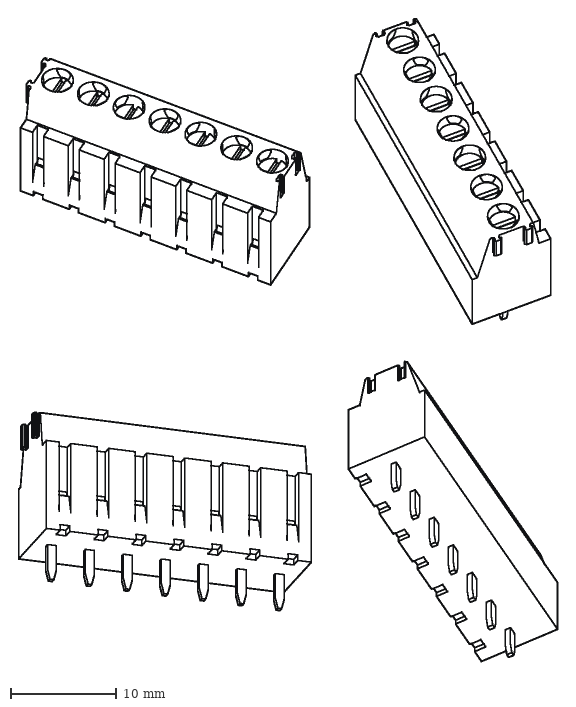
import cadquery as cq
import math


poles = 7
housing_length = 26.55
housing_depth = 8.2
housing_height = 12.6
pitch = 3.8
front_ledge_height = 9.0
front_ledge_width = 1.22
back_ledge_height = 7.12
back_ledge_width = 0.55
front_crest_y = -2.28
back_crest_y = 2.23
crest_radius = 0.27

end_x = housing_length / 2
front_y = -housing_depth / 2
back_y = housing_depth / 2

tab_spacing = 3.2
tab_length = 0.55
tab_height = 2.3
tab_head_width = 0.82
tab_neck_width = 0.5
tab_head_thickness = 0.25
tab_nose = 0.1
tab_root_flare = 0.1
slot_depth = 0.5
slot_clearance = 0.04

ridge_projection = 0.08
ridge_width = 0.15
ridge_y = 2.0

well_diameter = 3.0
screw_diameter = 2.8
screw_depth = 1.2
screw_slot_width = 0.5
screw_slot_depth = 0.65
bump_projection = 0.2
bump_foot_projection = 0.05
bump_rounding = 0.27
bump_count = 3
poles_with_reversed_bumps = (2, 4, 6)

groove_width = 1.17
groove_depth = 1.0
groove_bottom = 1.9
groove_step_height = 3.83
groove_step_depth = 0.57
wedge_width = 1.0
wedge_top = 4.4
wedge_depth = 0.73

notch_width = 0.98
notch_height = 0.57
notch_depth = 1.2

pin_length = 3.5
pin_width = 0.9
pin_thickness = 0.55
pin_tip_width = 0.38
pin_taper_length = 0.98


def pole_x(pole):
    return (pole - (poles - 1) / 2) * pitch


def make_housing():
    """End profile of the housing, extruded along the row of poles."""
    housing = (
        cq.Workplane("YZ")
        .polyline([
            (front_y, 0),
            (front_y, front_ledge_height),
            (front_y + front_ledge_width, front_ledge_height),
            (front_crest_y, housing_height),
            (back_crest_y, housing_height),
            (back_y - back_ledge_width, back_ledge_height),
            (back_y, back_ledge_height),
            (back_y, 0),
        ])
        .close()
        .extrude(end_x, both=True)
    )
    return housing.faces(">Z").edges("|X").fillet(crest_radius)


def make_tab(x, y, length, clearance=0.0):
    """T-shaped tab that points to -X from its root at x; clearance enlarges it into a slot."""
    tip_x = x - length
    neck_x = tip_x + tab_head_thickness + clearance
    head = tab_head_width / 2 + clearance
    neck = tab_neck_width / 2 + clearance
    lower_side = [
        (tip_x, y - neck),
        (tip_x + tab_nose, y - head),
        (neck_x, y - head),
        (neck_x, y - neck),
        (x - tab_root_flare, y - neck),
        (x, y - neck - tab_root_flare),
    ]
    upper_side = [(px, 2 * y - py) for px, py in reversed(lower_side)]
    return (
        cq.Workplane("XY", origin=(0, 0, housing_height - tab_height))
        .polyline(lower_side + upper_side)
        .close()
        .extrude(tab_height)
    )


def make_ridge():
    """Triangular ridge standing on the +X end, as tall as the slots."""
    return (
        cq.Workplane("XY", origin=(end_x, ridge_y, housing_height - tab_height))
        .polyline([
            (0, -ridge_width / 2),
            (ridge_projection, 0),
            (0, ridge_width / 2),
        ])
        .close()
        .extrude(tab_height)
    )


def make_bump(angle):
    """Flat retaining bump on the well wall, rounded at the rim and leaning back to the screw."""
    well_radius = well_diameter / 2
    face = well_radius - bump_projection
    outer = face + bump_rounding
    arc_offset = bump_rounding * math.sqrt(0.5)
    bump = (
        cq.Workplane("XZ")
        .moveTo(outer, 0)
        .threePointArc(
            (outer - arc_offset, arc_offset - bump_rounding),
            (face, -bump_rounding),
        )
        .lineTo(well_radius - bump_foot_projection, -screw_depth)
        .lineTo(outer, -screw_depth)
        .close()
        .extrude(well_radius, both=True)
    )
    return bump.rotate((0, 0, 0), (0, 0, 1), angle)


def make_well(bumps_reversed):
    """Space to remove around one screw head, with its origin at the rim of the well."""
    depth = screw_depth + screw_slot_depth
    well = cq.Workplane("XY").circle(well_diameter / 2).extrude(-depth)
    first_angle = -90 if bumps_reversed else 90
    for i in range(bump_count):
        well = well.cut(make_bump(first_angle + i * 360 / bump_count))
    screw = (
        cq.Workplane("XY", origin=(0, 0, -depth))
        .circle(screw_diameter / 2)
        .extrude(screw_slot_depth)
    )
    screw_slot = cq.Workplane("XY", origin=(0, 0, -depth)).box(
        screw_slot_width, screw_diameter, screw_slot_depth, centered=(True, True, False)
    )
    return well.cut(screw.cut(screw_slot))


def make_groove(x):
    """Space to remove for one front groove: sloped sill, step and a wedge on its back wall."""
    back = front_y + groove_depth
    step = front_y + groove_step_depth
    groove = (
        cq.Workplane("YZ", origin=(x, 0, 0))
        .polyline([
            (front_y, groove_bottom),
            (step, groove_step_height),
            (back, groove_step_height),
            (back, front_ledge_height),
            (front_y, front_ledge_height),
        ])
        .close()
        .extrude(groove_width / 2, both=True)
    )
    wedge = (
        cq.Workplane("YZ", origin=(x, 0, 0))
        .polyline([
            (front_y + wedge_depth, groove_step_height),
            (back, groove_step_height),
            (back, wedge_top),
        ])
        .close()
        .extrude(wedge_width / 2, both=True)
    )
    return groove.cut(wedge)


def make_notch(x):
    """Space to remove for one notch below a groove."""
    return cq.Workplane("XY", origin=(x, front_y, 0)).box(
        notch_width, notch_depth, notch_height, centered=(True, False, False)
    )


def make_pin(x):
    """Flat pin with a tapered tip."""
    half = pin_width / 2
    tip_half = pin_tip_width / 2
    taper_z = pin_taper_length - pin_length
    return (
        cq.Workplane("XZ", origin=(x, 0, 0))
        .polyline([
            (-half, 0),
            (half, 0),
            (half, taper_z),
            (tip_half, -pin_length),
            (-tip_half, -pin_length),
            (-half, taper_z),
        ])
        .close()
        .extrude(pin_thickness / 2, both=True)
    )


result = make_housing()

for tab_y in (-tab_spacing / 2, tab_spacing / 2):
    result = result.cut(make_tab(end_x, tab_y, slot_depth, slot_clearance))
    result = result.union(make_tab(-end_x, tab_y, tab_length))
result = result.union(make_ridge())

for pole in range(poles):
    x = pole_x(pole)
    well = make_well(pole in poles_with_reversed_bumps)
    result = result.cut(well.translate((x, 0, housing_height)))
    result = result.cut(make_groove(x))
    result = result.cut(make_notch(x))
    result = result.union(make_pin(x))